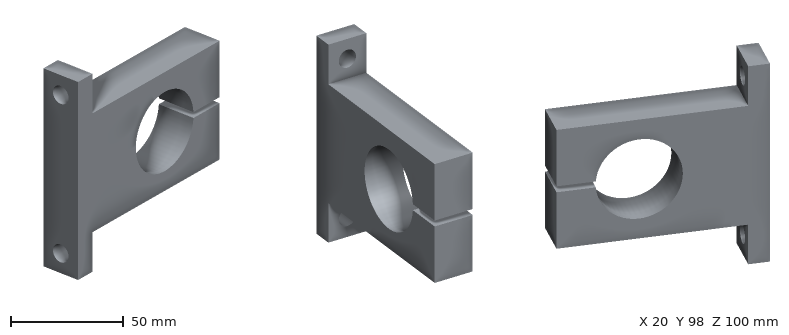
import cadquery as cq

width = 20.0
plate_height = 100.0
plate_thickness = 10.0
total_depth = 98.0
block_height = 60.0
bore_diameter = 40.0
bore_distance = 60.0
slit_width = 3.0
bolt_diameter = 9.0
bolt_spacing = 80.0

plate = cq.Workplane("XY").box(width, plate_thickness, plate_height, centered=(True, False, True))
block = cq.Workplane("XY").box(width, total_depth, block_height, centered=(True, False, True))
body = plate.union(block)

bore = (
    cq.Workplane("YZ")
    .center(bore_distance, 0)
    .circle(bore_diameter / 2)
    .extrude(width / 2, both=True)
)

slit = (
    cq.Workplane("XY")
    .box(width, total_depth - bore_distance, slit_width, centered=(True, False, True))
    .translate((0, bore_distance, 0))
)

bolt_holes = (
    cq.Workplane("XZ")
    .pushPoints([(0, -bolt_spacing / 2), (0, bolt_spacing / 2)])
    .circle(bolt_diameter / 2)
    .extrude(-plate_thickness)
)

result = body.cut(bore).cut(slit).cut(bolt_holes)